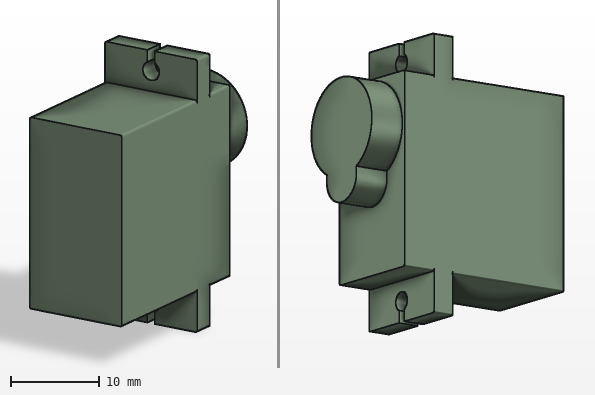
import cadquery as cq

width = 12.5
case_height = 22.78
case_depth = 22.35
total_depth = 26.65
edge_radius = 0.25

ear_span = 32.45
ear_thickness = 2.63
ear_front = 15.58
hole_diameter = 2.2
hole_height = 13.8
slot_width = 0.97

boss_height = total_depth - case_depth
main_boss_diameter = 11.62
main_boss_inset = 0.25
main_boss_z = case_height / 2 - main_boss_inset - main_boss_diameter / 2
small_boss_diameter = 5.7
small_boss_bottom = -3.4
small_boss_z = small_boss_bottom + small_boss_diameter / 2


def rounded_block(height, depth, y_start):
    """Block centred on X and Z, rounded along its four Y edges."""
    block = cq.Workplane("XY").box(width, depth, height, centered=(True, False, True))
    return block.edges("|Y").fillet(edge_radius).translate((0, y_start, 0))


def boss(diameter, z_center):
    """Cylinder standing on the +Y face of the case."""
    face = cq.Workplane("XZ", origin=(0, case_depth, z_center))
    return face.circle(diameter / 2).extrude(-boss_height)


def boss_bridge():
    """Flat-sided web joining the small boss tangentially to the main boss."""
    length = main_boss_z - small_boss_z
    plane = cq.Workplane("XZ", origin=(0, case_depth, small_boss_z + length / 2))
    return plane.rect(small_boss_diameter, length).extrude(-boss_height)


def keyhole(side):
    """Screw hole with a slot open to the ear's end; side is +1 (top) or -1 (bottom)."""
    slot_length = ear_span / 2 - hole_height
    plane = cq.Workplane("XZ", origin=(0, ear_front, side * hole_height))
    hole = plane.circle(hole_diameter / 2).extrude(-ear_thickness)
    slot_plane = plane.center(0, side * slot_length / 2)
    slot = slot_plane.rect(slot_width, slot_length).extrude(-ear_thickness)
    return hole.union(slot)


ears = rounded_block(ear_span, ear_thickness, ear_front)
for end in (1, -1):
    ears = ears.cut(keyhole(end))

case = rounded_block(case_height, case_depth, 0)
result = case.union(ears)
result = result.union(boss(main_boss_diameter, main_boss_z))
result = result.union(boss(small_boss_diameter, small_boss_z))
result = result.union(boss_bridge())
result = result.translate((0, -total_depth / 2, 0))